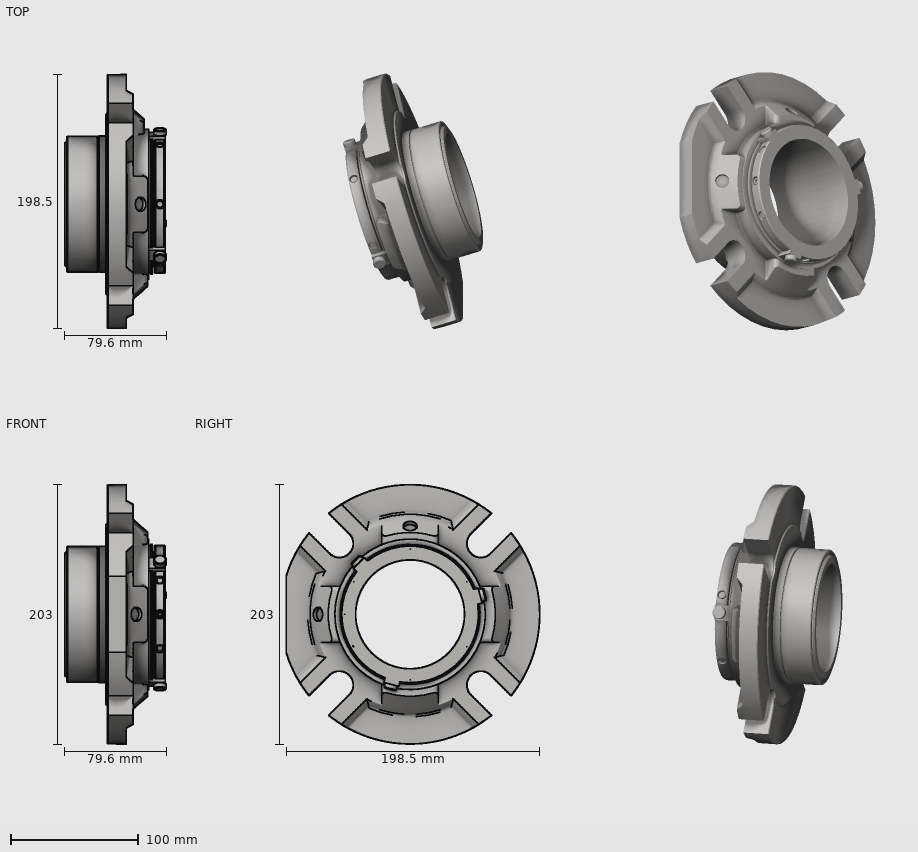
import cadquery as cq
import math


overall_length = 79.63

bore_radius = 84.99 / 2
sleeve_radius = 88.88 / 2
nose_radius = 98.4 / 2
nose_length = 1.9
nose_chamfer = 1.6

barrel_radius = 106.35 / 2
barrel_chamfer = 0.6
groove_radius = 103.38 / 2
groove_start = 25.4
groove_width = 1.3
pilot_radius = 106.68 / 2
pilot_chamfer = 0.3

spigot_radius = 71.1
spigot_start = 32.2
spigot_chamfer = 1.0
flange_radius = 202.95 / 2
flange_start = 33.3
flange_chamfer = 0.7
flange_back = 48.3
flat_to_rim = 198.47
flat_distance = flat_to_rim - flange_radius
corner_angles = [45, 135, 225, 315]
pad_back = 53.6
pad_top_half_width = 22.9
pad_slope_angle = 45.0
foot_fillet = 2.4
slot_width = 21.6
slot_bottom_radius = 67.4

hub_radius = 58.8
hub_back = 65.9
valley_fillet = 1.2
cone_radius_at_pads = 74.3
cone_angle = 41.5
lobe_half_width = 22.0
lobe_corner_radius = 4.0
lobe_round_overlap = 0.1
lobe_edge_fillet = 0.8
lobe_back = 65.2
short_lobe_back = 62.2
lobe_backs = {0: short_lobe_back, 90: lobe_back, 180: lobe_back, 270: lobe_back}
port_diameter = 11.0
port_depth = 3.5
port_positions = {90: 59.5, 180: 56.2}

neck_radius = 53.95
disc_radius = 109.42 / 2
disc_start = 67.4
disc_back = 68.6
lip_radius = 48.8
lip_back = 69.2

collar_radius = 107.9 / 2
collar_start = 70.0
collar_back = 78.9
collar_chamfer_length = 1.2
collar_chamfer_height = 0.6
clip_head_diameter = 10.0
screw_x = overall_length - clip_head_diameter / 2
screw_angles = [30, 90, 150, 180, 210, 270, 330]
screw_hole_diameter = 7.0
screw_diameter = 5.0
screw_hole_depth = 3.0
screw_recess = 1.0
socket_angle = 180
socket_diameter = 2.82
socket_depth = 1.5

clip_angles = [15, 135, 255]
clip_width = 12.0
clip_inner_radius = 52.6
clip_outer_radius = 56.7
clip_head_radius = 60.7
clip_head_chamfer = 0.7

half_diagonal = math.sqrt(0.5)


def cone_radius(x):
    return cone_radius_at_pads - (x - pad_back) * math.tan(math.radians(cone_angle))


def foot_fillet_points(slope_angle):
    """Arc that joins the flange's back face to a slope leaning back by slope_angle.

    Returns the arc's start, middle and end as (x, outward) offsets from the sharp corner.
    """
    tilt = math.radians(slope_angle)
    half_corner = (math.pi / 2 + tilt) / 2
    leg = foot_fillet / math.tan(half_corner)
    gap = foot_fillet / math.sin(half_corner) - foot_fillet
    middle = (gap * math.sin(half_corner), gap * math.cos(half_corner))
    end = (leg * math.cos(tilt), -leg * math.sin(tilt))
    return (0, leg), middle, end


def revolve_outline(outline):
    """Turn a closed outline of (x, radius) around the X axis."""
    return outline.close().revolve(360, (0, 0, 0), (1, 0, 0))


def revolve_points(points):
    return revolve_outline(cq.Workplane("XY").polyline(points))


def tube(start, end, outer_radius):
    return revolve_points(
        [(start, bore_radius), (start, outer_radius), (end, outer_radius), (end, bore_radius)]
    )


def turned_to(shape, angle):
    return shape.rotate((0, 0, 0), (1, 0, 0), angle)


def make_slot(angle):
    end_radius = slot_width / 2
    end_center = slot_bottom_radius + end_radius
    slot_end = flange_radius + slot_width
    slot = (
        cq.Workplane("YZ")
        .moveTo(slot_end, -end_radius)
        .lineTo(end_center, -end_radius)
        .threePointArc((slot_bottom_radius, 0), (end_center, end_radius))
        .lineTo(slot_end, end_radius)
        .close()
        .extrude(hub_back)
    )
    return turned_to(slot, angle)


def make_front_end():
    groove_end = groove_start + groove_width
    front_end = revolve_points(
        [
            (0, bore_radius),
            (0, nose_radius - nose_chamfer),
            (nose_chamfer, nose_radius),
            (nose_length, nose_radius),
            (nose_length, barrel_radius - barrel_chamfer),
            (nose_length + barrel_chamfer, barrel_radius),
            (groove_start, barrel_radius),
            (groove_start, groove_radius),
            (groove_end, groove_radius),
            (groove_end, pilot_radius - pilot_chamfer),
            (groove_end + pilot_chamfer, pilot_radius),
            (spigot_start, pilot_radius),
            (spigot_start, spigot_radius - spigot_chamfer),
            (spigot_start + spigot_chamfer, spigot_radius),
            (flange_start, spigot_radius),
            (flange_start, bore_radius),
        ]
    )
    for angle in corner_angles:
        front_end = front_end.cut(make_slot(angle))
    return front_end


def make_flange_pad(angle):
    """Thicker, slope-sided stretch of the flange around a slot."""
    slope = (pad_back - flange_back) * math.tan(math.radians(pad_slope_angle))
    base_half_width = pad_top_half_width + slope
    start, middle, end = [
        (flange_back + dx, base_half_width + outward)
        for dx, outward in foot_fillet_points(pad_slope_angle)
    ]
    half_pad = (
        cq.Workplane("XZ")
        .moveTo(flange_back, 0)
        .lineTo(*start)
        .threePointArc(middle, end)
        .lineTo(pad_back, pad_top_half_width)
        .lineTo(pad_back, 0)
        .close()
        .extrude(-flange_radius)
    )
    pad = half_pad.union(half_pad.mirror("XY"))
    pad = pad.intersect(tube(flange_back, pad_back, flange_radius))
    return turned_to(pad.cut(make_slot(0)), angle)


def make_flange():
    flange = tube(flange_start, flange_back, flange_radius)
    flat_cut = cq.Workplane("XY").box(
        flange_back - flange_start, flange_radius, 2 * flange_radius, centered=(False, False, True)
    )
    flange = flange.cut(flat_cut.translate((flange_start, -flat_distance - flange_radius, 0)))
    for angle in corner_angles:
        flange = flange.cut(make_slot(angle))
    front_rim = flange.faces("<X").val().outerWire().Edges()
    return flange.newObject(front_rim).chamfer(flange_chamfer)


def make_cone():
    """Cone with a concave fillet at its foot."""
    start, middle, end = [
        (flange_back + dx, cone_radius(flange_back) + outward)
        for dx, outward in foot_fillet_points(cone_angle)
    ]
    return revolve_outline(
        cq.Workplane("XY")
        .moveTo(flange_back, bore_radius)
        .lineTo(*start)
        .threePointArc(middle, end)
        .lineTo(lobe_back, cone_radius(lobe_back))
        .lineTo(lobe_back, bore_radius)
    )


def make_valley(angle):
    """Space between two neighbouring lobes, with rounded inner edges that leave fillets."""
    size = 2 * flange_radius
    reach = lobe_half_width + flange_radius + hub_radius
    valley = cq.Workplane("XY").box(size, size, size, centered=False)
    valley = valley.translate((pad_back, lobe_half_width, lobe_half_width))
    valley = valley.cut(cq.Workplane("YZ").circle(hub_radius).extrude(2 * size))
    inner_edges = cq.selectors.BoxSelector((0, 0, 0), (size, reach, reach))
    valley = valley.edges(inner_edges).fillet(valley_fillet)
    return turned_to(valley, angle - 45)


def make_lobe_trim(angle, back):
    """Space behind a lobe, with the lobe's back edges rounded over."""
    round_side = lobe_half_width + lobe_round_overlap
    outer_side = lobe_half_width + valley_fillet
    top = round_side - lobe_corner_radius
    corner_x = back - lobe_corner_radius
    mid_side = top + lobe_corner_radius * half_diagonal
    mid_x = corner_x + lobe_corner_radius * half_diagonal
    trim = (
        cq.Workplane("XZ")
        .moveTo(hub_back, -outer_side)
        .lineTo(corner_x, -outer_side)
        .lineTo(corner_x, -round_side)
        .threePointArc((mid_x, -mid_side), (back, -top))
        .lineTo(back, top)
        .threePointArc((mid_x, mid_side), (corner_x, round_side))
        .lineTo(corner_x, outer_side)
        .lineTo(hub_back, outer_side)
        .close()
        .extrude(-flange_radius)
    )
    return turned_to(trim, angle)


def make_port(angle, x):
    """Blind round port, square to the cone."""
    tilt = math.radians(cone_angle)
    normal = (math.sin(tilt), math.cos(tilt), 0)
    mouth = cq.Plane(origin=(x, cone_radius(x), 0), xDir=(0, 0, 1), normal=normal)
    port = cq.Workplane(mouth).circle(port_diameter / 2).extrude(port_depth, both=True)
    return turned_to(port, angle)


def make_hub():
    hub = make_cone()
    for angle, back in lobe_backs.items():
        hub = hub.cut(make_lobe_trim(angle, back))
    hub = hub.union(tube(flange_back, hub_back, hub_radius))
    for angle in corner_angles:
        hub = hub.cut(make_valley(angle))
    hub = hub.edges("%HYPERBOLA").fillet(lobe_edge_fillet)
    for angle in corner_angles:
        hub = hub.union(make_flange_pad(angle))
        hub = hub.cut(make_slot(angle))
    for angle, x in port_positions.items():
        hub = hub.cut(make_port(angle, x))
    return hub


def radial_pin(angle, diameter, inner, outer):
    pin = cq.Workplane("XZ", origin=(screw_x, inner, 0)).circle(diameter / 2).extrude(inner - outer)
    return turned_to(pin, angle)


def make_collar():
    collar = revolve_points(
        [
            (collar_start, bore_radius),
            (collar_start, collar_radius - collar_chamfer_height),
            (collar_start + collar_chamfer_length, collar_radius),
            (collar_back - collar_chamfer_length, collar_radius),
            (collar_back, collar_radius - collar_chamfer_height),
            (collar_back, bore_radius),
        ]
    )
    hole_floor = collar_radius - screw_hole_depth
    screw_top = collar_radius - screw_recess
    for angle in screw_angles:
        collar = collar.cut(radial_pin(angle, screw_hole_diameter, hole_floor, clip_outer_radius))
        collar = collar.union(radial_pin(angle, screw_diameter, hole_floor, screw_top))
    return collar.cut(radial_pin(socket_angle, socket_diameter, screw_top - socket_depth, screw_top))


def make_clip(angle):
    plate = cq.Workplane("XY").box(
        collar_back - hub_back,
        clip_outer_radius - clip_inner_radius,
        clip_width,
        centered=(False, False, True),
    ).translate((hub_back, clip_inner_radius, 0))
    head = radial_pin(0, clip_head_diameter, clip_outer_radius, clip_head_radius)
    head = head.faces(">Y").chamfer(clip_head_chamfer)
    return turned_to(plate.union(head), angle)


result = make_front_end().union(make_flange()).union(make_hub())
result = result.union(tube(hub_back, collar_back, sleeve_radius))
result = result.union(tube(hub_back, disc_start, neck_radius))
result = result.union(tube(disc_start, disc_back, disc_radius))
result = result.union(tube(disc_back, lip_back, lip_radius))
result = result.union(make_collar())
for clip_angle in clip_angles:
    result = result.union(make_clip(clip_angle))